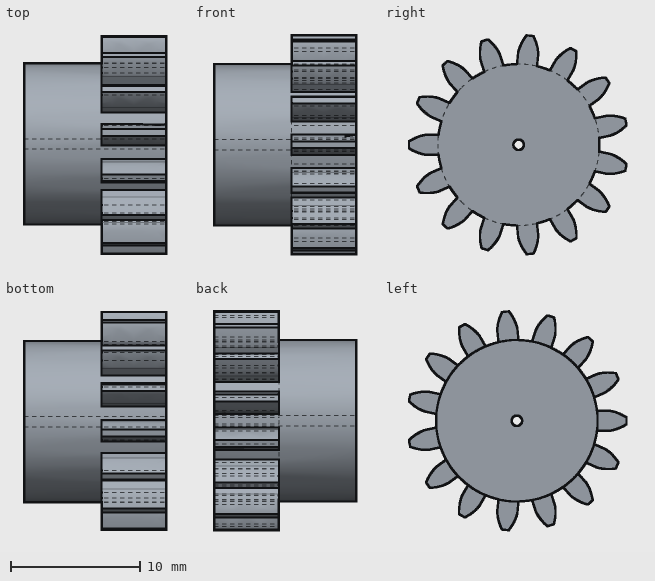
import cadquery as cq
import math

tooth_count = 15
hub_length = 6.0
gear_width = 5.0
root_radius = 6.25
base_radius = 7.05
tip_diameter = 17.0
bore_diameter = 0.8
base_thickness = 1.58
foot_overlap = 0.63
flank_points = 6

tip_radius = tip_diameter / 2
total_length = hub_length + gear_width
base_half_angle = math.asin(base_thickness / 2 / base_radius)
tip_roll = math.sqrt((tip_radius / base_radius) ** 2 - 1)


def flank_point(roll):
    """Point on the upper involute flank of a tooth lying along the workplane's local x."""
    radius = base_radius * math.hypot(1, roll)
    angle = base_half_angle - (roll - math.atan(roll))
    return radius * math.cos(angle), radius * math.sin(angle)


def mirrored(points):
    """Reflect points across the centre line of the tooth."""
    return [(along, -across) for along, across in points]


def make_tooth():
    """Tooth pointing along -Y: parallel root sides, involute flanks, round tip."""
    upper = [flank_point(tip_roll * i / flank_points) for i in range(flank_points + 1)]
    lower = mirrored(upper)[::-1]
    foot = root_radius - foot_overlap
    side = upper[0][1]
    tip_slope = base_half_angle - tip_roll
    rising = [(1, 0), (math.cos(tip_slope), math.sin(tip_slope))]
    falling = [(-math.cos(tip_slope), math.sin(tip_slope)), (-1, 0)]
    return (
        cq.Workplane("YZ", origin=(hub_length, 0, 0))
        .moveTo(foot, side)
        .lineTo(*upper[0])
        .spline(upper[1:], tangents=rising, includeCurrent=True)
        .threePointArc((tip_radius, 0), lower[0])
        .spline(lower[1:], tangents=falling, includeCurrent=True)
        .lineTo(foot, -side)
        .close()
        .extrude(gear_width)
        .rotate((0, 0, 0), (1, 0, 0), 180)
    )


result = cq.Workplane("YZ").circle(root_radius).extrude(total_length)

tooth = make_tooth()
for index in range(tooth_count):
    result = result.union(tooth.rotate((0, 0, 0), (1, 0, 0), index * 360 / tooth_count))

bore = cq.Workplane("YZ").circle(bore_diameter / 2).extrude(total_length)
result = result.cut(bore)